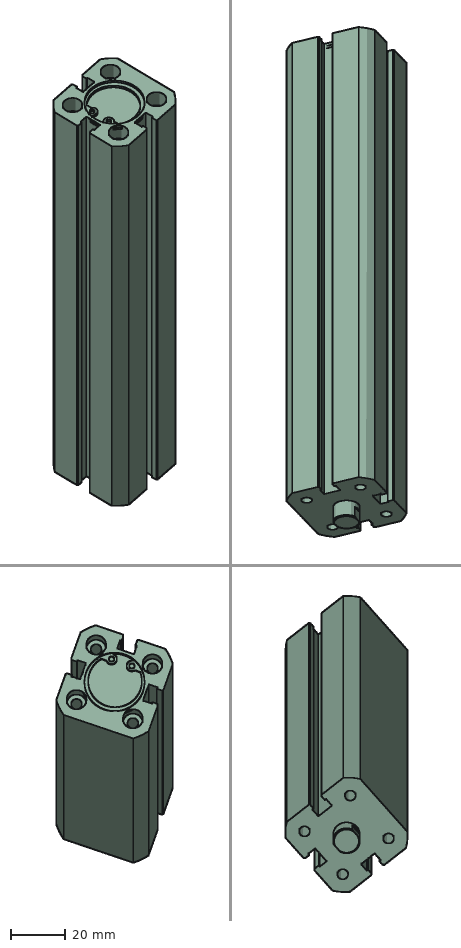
import cadquery as cq

total_length = 198.0
body_width = 36.0
rod_projection = 6.5
body_length = total_length - rod_projection

corner_radius = 22.5
slot_mouth_width = 5.3
slot_inner_width = 6.5
slot_lip_depth = 2.4
slot_depth = 5.7
slot_edge_chamfer = 0.4

mount_spacing = 22.0
mount_hole_diameter = 4.0
counterbore_diameter = 7.3
counterbore_depth = 7.0

bore_radius = 11.0
cap_thickness = 6.0
ring_depth = 1.0
ring_thickness = 1.0
groove_radius = 12.0
cap_top = total_length - ring_depth - ring_thickness

ring_inner_radius = 9.9
ring_eccentricity = 0.5
shoulder_drop = 7.0
lug_radius = 2.0
lug_x = 4.0
lug_drop = 8.1
lug_hole_radius = 1.0

rod_radius = 5.0
rod_insertion = 9.9
rod_chamfer = 0.4
flat_length = 4.4
width_across_flats = 9.0


def disc(radius, bottom, height):
    return cq.Workplane("XY").workplane(offset=bottom).circle(radius).extrude(height)


def slot_cutter():
    """Full-length T-shaped slot with bevelled mouth edges, opening on the -Y side."""
    mouth_half = slot_mouth_width / 2
    inner_half = slot_inner_width / 2
    face_y = -body_width / 2
    bevel_y = face_y + slot_edge_chamfer
    lip_y = face_y + slot_lip_depth
    floor_y = face_y + slot_depth
    half_outline = [
        (mouth_half + slot_edge_chamfer, face_y),
        (mouth_half, bevel_y),
        (mouth_half, lip_y),
        (inner_half, lip_y),
        (inner_half, floor_y),
    ]
    mirrored_half = [(-x, y) for x, y in reversed(half_outline)]
    return (
        cq.Workplane("XY")
        .workplane(offset=rod_projection)
        .polyline(half_outline + mirrored_half)
        .close()
        .extrude(body_length)
    )


def make_housing():
    housing = (
        cq.Workplane("XY")
        .workplane(offset=rod_projection)
        .rect(body_width, body_width)
        .extrude(body_length)
        .intersect(disc(corner_radius, rod_projection, body_length))
    )
    for angle in (-90, 0, 90):
        housing = housing.cut(slot_cutter().rotate((0, 0, 0), (0, 0, 1), angle))
    housing = (
        housing.faces(">Z")
        .workplane(origin=(0, 0, total_length))
        .rect(mount_spacing, mount_spacing, forConstruction=True)
        .vertices()
        .cboreHole(mount_hole_diameter, counterbore_diameter, counterbore_depth)
    )
    cap_seat = cap_top - cap_thickness
    housing = housing.cut(disc(bore_radius, cap_seat, total_length - cap_seat))
    housing = housing.cut(disc(groove_radius, cap_top, ring_thickness))
    return housing.cut(disc(rod_radius, rod_projection, rod_insertion))


def make_cap():
    return disc(bore_radius, cap_top - cap_thickness, cap_thickness)


def ring_plane(y=0):
    """Work plane at the underside of the retaining ring, with its origin at the given Y."""
    return cq.Workplane("XY", origin=(0, y, cap_top))


def make_retaining_ring():
    """Internal retaining ring, widest on the +Y side, with two eyed lugs beside a gap on the -Y side."""
    opening = ring_plane(-ring_eccentricity).circle(ring_inner_radius).extrude(ring_thickness)
    shoulder_span = 2 * groove_radius
    shoulder = (
        ring_plane(-shoulder_drop - groove_radius)
        .rect(shoulder_span, shoulder_span)
        .extrude(ring_thickness)
    )
    gap = (
        ring_plane(-groove_radius)
        .rect(2 * lug_x, 2 * (groove_radius - shoulder_drop))
        .extrude(ring_thickness)
    )
    ring = disc(groove_radius, cap_top, ring_thickness).cut(opening.cut(shoulder)).cut(gap)

    lug_places = [(-lug_x, -lug_drop), (lug_x, -lug_drop)]
    lugs = ring_plane().pushPoints(lug_places).circle(lug_radius).extrude(ring_thickness)
    eyes = ring_plane().pushPoints(lug_places).circle(lug_hole_radius).extrude(ring_thickness)
    return ring.union(lugs).cut(eyes)


def make_rod():
    """Rod with a chamfered end and two wrench flats facing -Y and +Y."""
    rod = disc(rod_radius, 0, rod_projection + rod_insertion).faces("<Z").chamfer(rod_chamfer)
    between_flats = cq.Workplane("XY").box(
        2 * rod_radius, width_across_flats, flat_length, centered=(True, True, False)
    )
    return rod.cut(disc(rod_radius, 0, flat_length).cut(between_flats))


housing = make_housing()
cap = make_cap()
retaining_ring = make_retaining_ring()
rod = make_rod()

result = cq.Compound.makeCompound(
    [housing.val(), cap.val(), retaining_ring.val(), rod.val()]
)